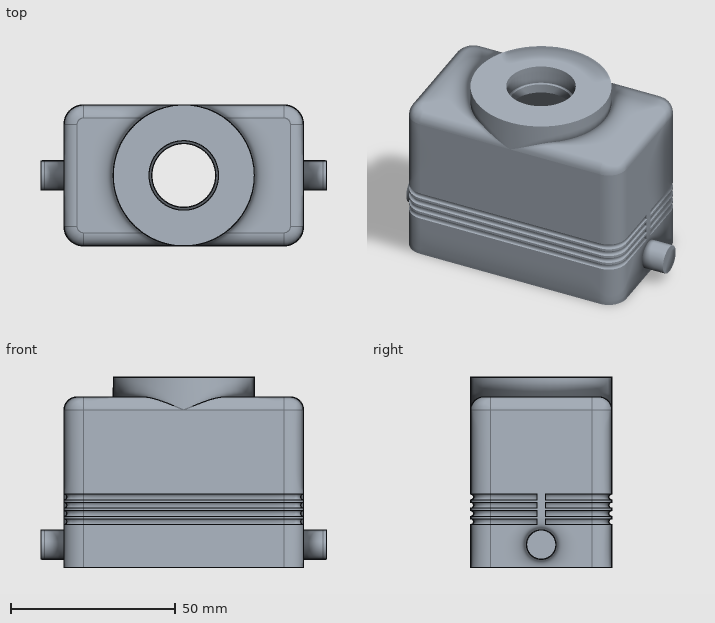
import cadquery as cq

BODY_LENGTH = 73.0
BODY_WIDTH = 43.0
BODY_HEIGHT = 52.0
CORNER_RADIUS = 6.0
TOP_FILLET = 4.0

SIDE_WALL = 3.0
ROOF_THICKNESS = 3.0
CAVITY_LENGTH = 49.7
CAVITY_WIDTH = BODY_WIDTH - 2 * SIDE_WALL
CAVITY_HEIGHT = BODY_HEIGHT - ROOF_THICKNESS

COLLAR_DIAMETER = BODY_WIDTH
COLLAR_TOP = 58.0
COLLAR_BASE = BODY_HEIGHT - TOP_FILLET
BORE_DIAMETER = 21.2
BORE_DEPTH = COLLAR_TOP - BODY_HEIGHT
HOLE_DIAMETER = 19.4

GROOVE_COUNT = 4
GROOVE_PITCH = 2.5
GROOVE_RADIUS = 0.875
LOWEST_GROOVE_HEIGHT = 14.0
BRIDGE_WIDTH = 2.6

PIN_DIAMETER = 9.0
PIN_HEIGHT = 7.0
PIN_SPAN = 87.0
PIN_LENGTH = (PIN_SPAN - BODY_LENGTH) / 2
PIN_TIP_LENGTH = 1.0
PIN_TIP_TAPER = 0.05


def make_shell():
    block = cq.Workplane("XY").box(BODY_LENGTH, BODY_WIDTH, BODY_HEIGHT, centered=(True, True, False))
    return block.edges("|Z").fillet(CORNER_RADIUS).faces(">Z").edges().fillet(TOP_FILLET)


def make_collar():
    """Collar cylinder, sunk to the foot of the top fillet so that it meets the side walls."""
    start = cq.Workplane("XY", origin=(0, 0, COLLAR_BASE))
    return start.circle(COLLAR_DIAMETER / 2).extrude(COLLAR_TOP - COLLAR_BASE)


def make_pin(side):
    """Pin on the end wall at +X (side = 1) or -X (side = -1), slightly tapered at its tip."""
    end_wall = cq.Plane(
        origin=(side * BODY_LENGTH / 2, 0, PIN_HEIGHT),
        xDir=(0, 1, 0),
        normal=(side, 0, 0),
    )
    pin = cq.Workplane(end_wall).circle(PIN_DIAMETER / 2).extrude(PIN_LENGTH)
    tip_face = ">X" if side > 0 else "<X"
    return pin.faces(tip_face).chamfer(PIN_TIP_LENGTH, PIN_TIP_TAPER)


def make_cavity():
    return cq.Workplane("XY").box(CAVITY_LENGTH, CAVITY_WIDTH, CAVITY_HEIGHT, centered=(True, True, False))


def make_cable_entry():
    """Through hole into the cavity with a wider bore down through the collar."""
    hole = cq.Workplane("XY").circle(HOLE_DIAMETER / 2).extrude(COLLAR_TOP)
    bore_floor = cq.Workplane("XY", origin=(0, 0, COLLAR_TOP - BORE_DEPTH))
    return hole.union(bore_floor.circle(BORE_DIAMETER / 2).extrude(BORE_DEPTH))


def make_groove_ring():
    """Round bar following the outline of the shell at Z = 0, less the end-wall bridges."""
    rectangle = cq.Workplane("XY").rect(BODY_LENGTH, BODY_WIDTH).val()
    outline = rectangle.fillet2D(CORNER_RADIUS, rectangle.Vertices())
    start = cq.Workplane(cq.Plane(outline.locationAt(0)))
    ring = start.circle(GROOVE_RADIUS).sweep(cq.Workplane(outline))
    bridges = cq.Workplane("XY").box(2 * BODY_LENGTH, BRIDGE_WIDTH, 4 * GROOVE_RADIUS)
    return ring.cut(bridges)


def cut_grooves(body):
    ring = make_groove_ring()
    for index in range(GROOVE_COUNT):
        height = LOWEST_GROOVE_HEIGHT + index * GROOVE_PITCH
        body = body.cut(ring.translate((0, 0, height)))
    return body


result = make_shell().union(make_collar())
result = cut_grooves(result)
for side in (-1, 1):
    result = result.union(make_pin(side))
result = result.cut(make_cavity()).cut(make_cable_entry())